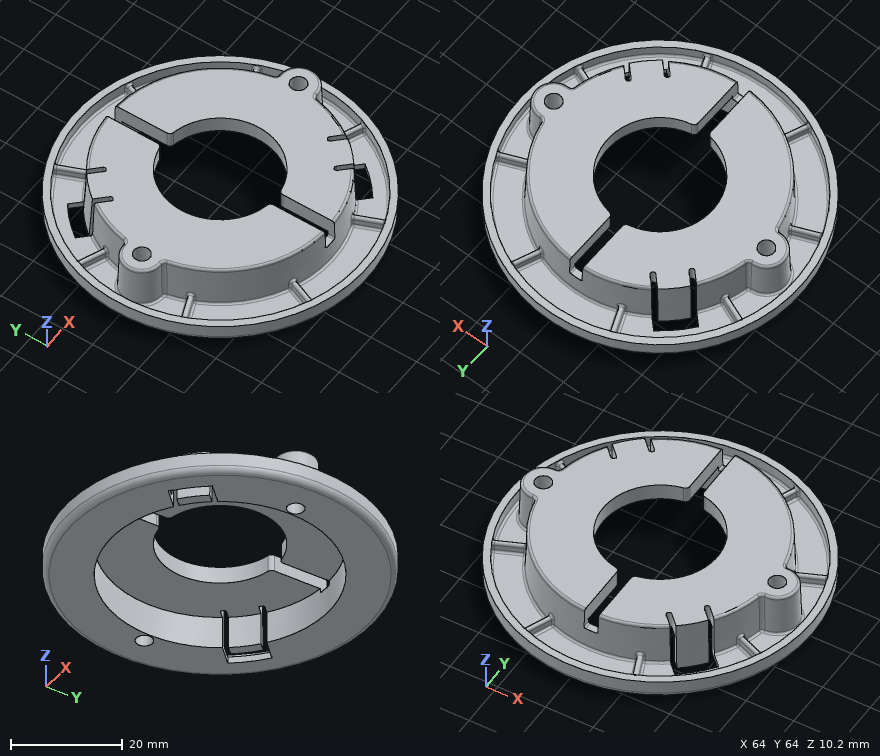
import cadquery as cq
import math

base_radius = 32.0
total_height = 10.2
rim_height = 4.0
rim_thickness = 1.55
floor_thickness = 1.35
bottom_edge_radius = 1.3
rim_inner_radius = base_radius - rim_thickness

draft_angle = 2.0
hub_top_radius = 24.0
hub_height = total_height - floor_thickness
draft_spread = hub_height * math.tan(math.radians(draft_angle))
hub_base_radius = hub_top_radius + draft_spread
top_edge_radius = 0.5
plate_thickness = 3.5
cavity_radius = 22.6
cavity_height = total_height - plate_thickness
bore_radius = 12.0

boss_offset = 24.5
boss_top_radius = 4.1
boss_base_radius = boss_top_radius + draft_spread
boss_corner_radius = 0.8
screw_hole_radius = 1.65

slot_width = 2.9
slot_depth = 4.4
slot_floor_z = total_height - slot_depth
slot_mouth_radius = 0.95
slot_floor_radius = 0.3

tab_angles = (135, 315)
tab_width = 6.0
tab_draft_angle = 3.5
tab_base_radius = hub_top_radius + total_height * math.tan(math.radians(tab_draft_angle))
tab_root_distance = 20.7
slit_width = 1.0
window_radius = 27.4
window_width = tab_width + 2 * slit_width

rib_count = 8
rib_width = 1.0
rib_top_z = 3.4
rib_overlap = 0.5

channel_fillet = 0.45
margin = 0.05


def cylinder(radius, height=total_height, center=(0, 0), bottom=0, taper=0):
    return cq.Workplane("XY", origin=(*center, bottom)).circle(radius).extrude(height, taper=taper)


def make_base():
    base = cylinder(base_radius, rim_height).faces("<Z").edges().fillet(bottom_edge_radius)
    return base.cut(cylinder(rim_inner_radius, rim_height, bottom=floor_thickness))


def drafted_post(radius, center=(0, 0)):
    """Tapered post standing on the channel floor and reaching the top face."""
    return cylinder(radius, hub_height, center, floor_thickness, draft_angle)


def make_hub():
    hub = drafted_post(hub_base_radius)
    for side in (-1, 1):
        hub = hub.union(drafted_post(boss_base_radius, (side * boss_offset, 0)))
    hub = hub.edges("not(%CIRCLE)").edges("not(%LINE)").fillet(boss_corner_radius)
    return hub.faces(">Z").edges().fillet(top_edge_radius)


def make_rib(angle):
    """Round-topped radial rib joining the hub wall to the rim."""
    inner_end = hub_top_radius - rib_overlap
    length = rim_inner_radius + rib_overlap - inner_end
    half_width = rib_width / 2
    shoulder_z = rib_top_z - half_width
    rib = (
        cq.Workplane("YZ", origin=(inner_end, 0, 0))
        .moveTo(-half_width, floor_thickness)
        .lineTo(-half_width, shoulder_z)
        .threePointArc((0, rib_top_z), (half_width, shoulder_z))
        .lineTo(half_width, floor_thickness)
        .close()
        .extrude(length)
    )
    return rib.rotate((0, 0, 0), (0, 0, 1), angle)


def channel_edges(body, top_z):
    """Edges of the channel lying wholly between its floor and the given height."""
    reach = rim_inner_radius + margin
    box = cq.selectors.BoxSelector(
        (-reach, -reach, floor_thickness - margin),
        (reach, reach, top_z + margin),
        boundingbox=True,
    )
    return body.edges(box)


def make_body():
    """Base, hub and ribs, blended where they meet in the channel."""
    body = make_base().union(make_hub())
    for i in range(rib_count):
        body = body.union(make_rib((i + 0.5) * 360 / rib_count))
    rib_feet = channel_edges(body, floor_thickness).edges("#Z")
    junctions = channel_edges(body, rib_top_z).edges("not(#Z)")
    return junctions.add(rib_feet).fillet(channel_fillet)


def make_cavity():
    return cylinder(cavity_radius, cavity_height)


def make_bore_and_slot():
    slot = (
        cq.Workplane("XY", origin=(0, 0, slot_floor_z))
        .rect(slot_width, 2 * hub_base_radius)
        .extrude(slot_depth)
        .edges("|Y and <Z")
        .fillet(slot_floor_radius)
    )
    opening = cylinder(bore_radius).union(slot)
    mouths = cq.selectors.BoxSelector(
        (-slot_width, -bore_radius, slot_floor_z),
        (slot_width, bore_radius, total_height),
    )
    return opening.edges(mouths).edges("|Z").fillet(slot_mouth_radius)


def radial_bar(start, width):
    """Full-height bar along +X, from the given distance out to the base edge."""
    bar = cq.Workplane("XY").box(base_radius - start, width, total_height, centered=(False, True, False))
    return bar.translate((start, 0, 0))


def make_window():
    """Opening for one tab: a round-ended slit on each side, closed outside by an arc."""
    window = radial_bar(tab_root_distance, window_width).intersect(cylinder(window_radius))
    for side in (-1, 1):
        slit_y = side * (tab_width + slit_width) / 2
        window = window.union(cylinder(slit_width / 2, center=(tab_root_distance, slit_y)))
    return window


def make_tab():
    """Sharp-edged piece of hub wall, sloping outward more than the hub does."""
    tab = cylinder(tab_base_radius, taper=tab_draft_angle)
    tab = tab.intersect(radial_bar(tab_root_distance - slit_width, tab_width))
    return tab.cut(make_cavity())


result = make_body().cut(make_cavity()).cut(make_bore_and_slot())

for side in (-1, 1):
    result = result.cut(cylinder(screw_hole_radius, center=(side * boss_offset, 0)))

for angle in tab_angles:
    turn = ((0, 0, 0), (0, 0, 1), angle)
    result = result.cut(make_window().rotate(*turn)).union(make_tab().rotate(*turn))